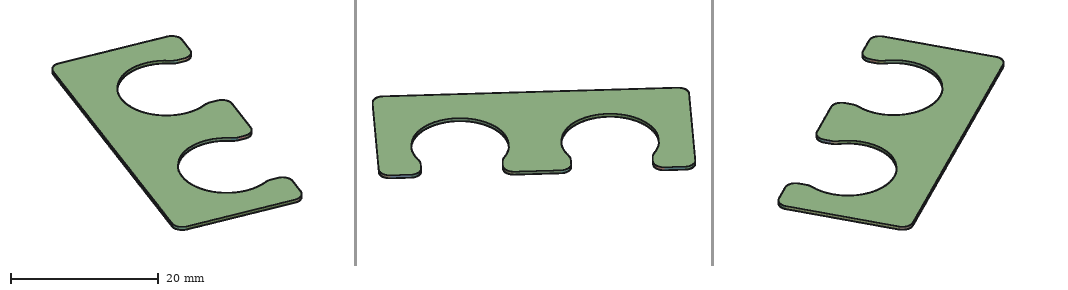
import cadquery as cq

length = 42.85
width = 19.05
thickness = 0.5
corner_radius = 1.5

pocket_radius = 6.6
pocket_spacing = 20.3
pocket_depth = 13.25
mouth_width = 11.05
mouth_corner_radius = 1.5
neck_radius = 2.15

edge_y = width / 2
pocket_y = edge_y - pocket_depth + pocket_radius
neck_y = pocket_y + (pocket_radius**2 - (mouth_width / 2) ** 2) ** 0.5
selector_size = 0.45


def pocket_cutter(center_x):
    """Round pocket joined to a straight mouth that ends at the +Y edge."""
    round_part = cq.Workplane("XY").center(center_x, pocket_y).circle(pocket_radius).extrude(thickness)
    mouth_length = edge_y - pocket_y
    mouth = (
        cq.Workplane("XY")
        .center(center_x, pocket_y + mouth_length / 2)
        .rect(mouth_width, mouth_length)
        .extrude(thickness)
    )
    return round_part.union(mouth)


def round_mouth_edges(body, center_x, y, radius):
    """Round the pair of upright edges on both sides of a mouth at height y."""
    for side in (-1, 1):
        x = center_x + side * mouth_width / 2
        around_edge = cq.selectors.BoxSelector(
            (x - selector_size, y - selector_size, -selector_size),
            (x + selector_size, y + selector_size, thickness + selector_size),
        )
        body = body.edges("|Z").edges(around_edge).fillet(radius)
    return body


plate = cq.Workplane("XY").box(length, width, thickness, centered=(True, True, False))
plate = plate.edges("|Z").fillet(corner_radius)

for pocket_x in (-pocket_spacing / 2, pocket_spacing / 2):
    plate = plate.cut(pocket_cutter(pocket_x))
    plate = round_mouth_edges(plate, pocket_x, neck_y, neck_radius)
    plate = round_mouth_edges(plate, pocket_x, edge_y, mouth_corner_radius)

result = plate